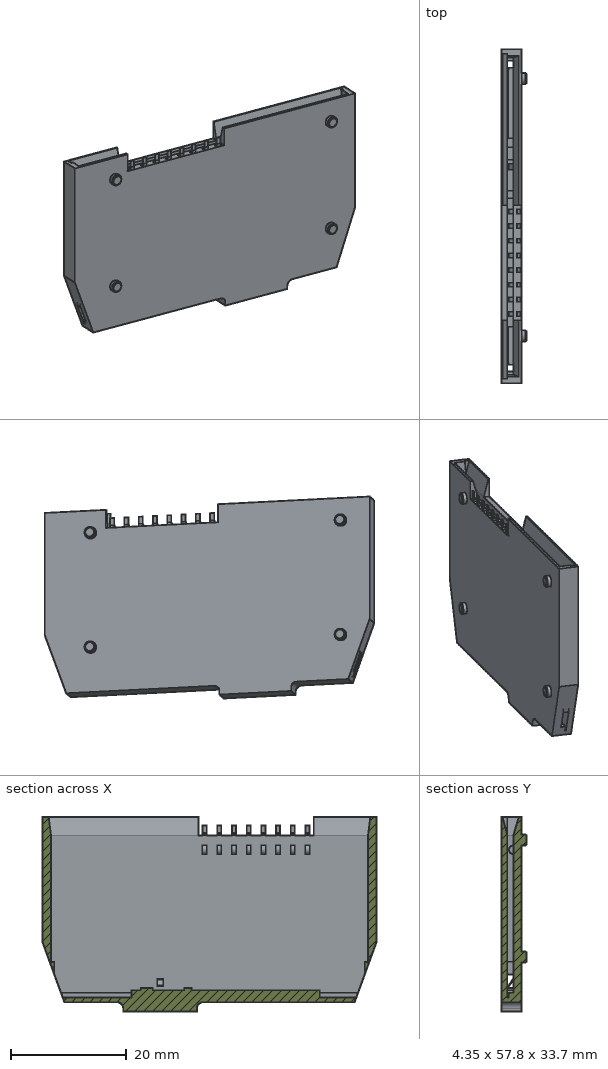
import cadquery as cq

thickness = 3.5
length = 57.8
height = 33.7

base_z = 1.6
taper_top_z = 12.0
taper_run = 3.8
tab_start_y = 31.05
tab_end_y = 43.85
tab_fillet = 1.0

contact_count = 8
contact_pitch = 2.54
contact_width = 0.75
row_center_y = 20.85
notch_length = 19.9
notch_floor_z = 30.5

slot_x0 = 1.05
slot_x1 = 2.05
slot_center_x = (slot_x0 + slot_x1) / 2
slot_end_gap = 1.5
window_end_gap = 2.05
window_top_z = 6.05
slot_floor_z = 3.3
slot_ledge_z = 8.6

raised_floors = [
    (9.8, 32.0, 3.7),
    (32.0, 33.3, 4.1),
    (33.3, 38.7, 3.7),
    (38.7, 40.8, 4.1),
    (40.8, 42.4, 3.7),
]

groove_width = 0.15
groove_floor_z = 2.45

funnel_x0 = 0.2
funnel_x1 = 3.0
funnel_end_gap = 1.1
left_bevel_end_gap = 0.82

tail_foot_x = 2.65
tail_knee_x = 2.75
tail_knee_z = 30.75
tail_x = 3.25
tail_thickness = 0.15
tail_bend_z = 30.95
tail_top_z = 32.2
bump_radius = 0.75
bump_z = 28.0

spring_start_y = 36.9
spring_end_y = 37.95
spring_tip_x = 1.3
spring_root_z = 5.7
spring_tip_z = 4.6
spring_thickness = 0.2

peg_radius = 0.98
peg_length = 0.85
peg_chamfer = 0.2
peg_ys = (8.2, 52.7)
peg_zs = (9.45, 29.7)

overlap = 0.2


def box(x0, x1, y0, y1, z0, z1):
    return cq.Workplane("XY").box(x1 - x0, y1 - y0, z1 - z0, centered=False).translate((x0, y0, z0))


def extrude_along_y(points, y0, y1):
    """Extrude an outline of (x, z) points from y0 to y1."""
    return cq.Workplane("XZ", origin=(0, y0, 0)).polyline(points).close().extrude(y0 - y1)


def housing_block():
    fillet_z = base_z - tab_fillet
    return (
        cq.Workplane("YZ")
        .moveTo(0, height)
        .lineTo(0, taper_top_z)
        .lineTo(taper_run, base_z)
        .lineTo(tab_start_y - tab_fillet, base_z)
        .radiusArc((tab_start_y, fillet_z), tab_fillet)
        .lineTo(tab_start_y, 0)
        .lineTo(tab_end_y, 0)
        .lineTo(tab_end_y, fillet_z)
        .radiusArc((tab_end_y + tab_fillet, base_z), tab_fillet)
        .lineTo(length - taper_run, base_z)
        .lineTo(length, taper_top_z)
        .lineTo(length, height)
        .close()
        .extrude(thickness)
    )


def notch():
    y0 = row_center_y - notch_length / 2
    return box(0, thickness, y0, y0 + notch_length, notch_floor_z, height)


def board_slot():
    upper = box(slot_x0, slot_x1, slot_end_gap, length - slot_end_gap, slot_ledge_z, height)
    lower_y0 = window_end_gap
    lower_y1 = length - window_end_gap
    lower = box(slot_x0, slot_x1, lower_y0, lower_y1, window_top_z, slot_ledge_z)
    windows = box(slot_x0, slot_x1, 0, length, slot_floor_z, window_top_z)
    slot = upper.union(lower).union(windows)
    for y0, y1, floor_z in raised_floors:
        slot = slot.cut(box(slot_x0, slot_x1, y0, y1, 0, floor_z))
    return slot


def floor_grooves():
    groove_x1 = slot_x0 + groove_width
    front = box(slot_x0, groove_x1, 0, raised_floors[0][0], groove_floor_z, slot_floor_z)
    back = box(slot_x0, groove_x1, raised_floors[-1][1], length, groove_floor_z, slot_floor_z)
    return front.union(back)


def funnel():
    tapered = (
        cq.Workplane("XY", origin=(slot_center_x, length / 2, notch_floor_z))
        .rect(slot_x1 - slot_x0, length - 2 * slot_end_gap)
        .workplane(offset=height - notch_floor_z)
        .center((funnel_x0 + funnel_x1) / 2 - slot_center_x, 0)
        .rect(funnel_x1 - funnel_x0, length - 2 * funnel_end_gap)
        .loft(ruled=True)
    )
    bevel_outline = [(funnel_x0, height), (slot_x0, height), (slot_x0, notch_floor_z)]
    left_bevel = extrude_along_y(bevel_outline, left_bevel_end_gap, length - left_bevel_end_gap)
    return tapered.union(left_bevel)


def contact(center_y):
    """A bent tail above the notch floor and a rounded spring bump inside the slot."""
    y0 = center_y - contact_width / 2
    y1 = center_y + contact_width / 2
    tail_outline = [
        (tail_foot_x, notch_floor_z - overlap),
        (tail_foot_x, notch_floor_z),
        (tail_knee_x, tail_knee_z),
        (tail_x, tail_bend_z),
        (tail_x, tail_top_z),
        (tail_x + tail_thickness, tail_top_z),
        (tail_x + tail_thickness, notch_floor_z - overlap),
    ]
    tail = extrude_along_y(tail_outline, y0, y1)
    bump = cq.Workplane("XZ", origin=(slot_x1, y0, bump_z)).circle(bump_radius).extrude(-contact_width)
    return tail.union(bump)


def foot_spring():
    root_x = slot_x1 + overlap
    outline = [
        (root_x, spring_root_z),
        (slot_x1, spring_root_z),
        (spring_tip_x, spring_tip_z),
        (spring_tip_x, spring_tip_z - spring_thickness),
        (slot_x1, spring_root_z - spring_thickness),
        (root_x, spring_root_z - spring_thickness),
    ]
    return extrude_along_y(outline, spring_start_y, spring_end_y)


def peg(y, z):
    return (
        cq.Workplane("YZ", origin=(thickness - overlap, y, z))
        .circle(peg_radius)
        .extrude(peg_length + overlap)
        .faces(">X")
        .chamfer(peg_chamfer)
    )


result = housing_block().cut(notch()).cut(board_slot()).cut(floor_grooves()).cut(funnel())

first_contact_y = row_center_y - (contact_count - 1) * contact_pitch / 2
for index in range(contact_count):
    result = result.union(contact(first_contact_y + index * contact_pitch))

result = result.union(foot_spring())

for peg_y in peg_ys:
    for peg_z in peg_zs:
        result = result.union(peg(peg_y, peg_z))